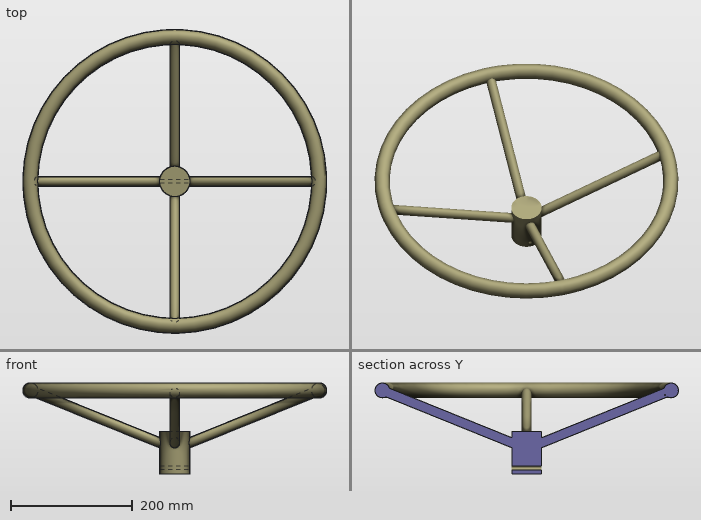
import cadquery as cq

wheel_diameter = 500.0
wheel_height = 150.0
rim_tube_diameter = 25.0
hub_diameter = 50.0
hub_height = 70.0
spoke_diameter = 16.0
spoke_count = 4
spoke_root_height = 41.5
pin_hole_diameter = 6.0
pin_hole_height = 10.0

rim_radius = (wheel_diameter - rim_tube_diameter) / 2
spoke_spacing = 360 / spoke_count
rim_height = wheel_height - rim_tube_diameter / 2


def make_rim():
    """Round tube around the wheel axis, with its seam midway between two spokes."""
    torus = cq.Solid.makeTorus(rim_radius, rim_tube_diameter / 2, cq.Vector(0, 0, rim_height))
    return cq.Workplane(obj=torus).rotate((0, 0, 0), (0, 0, 1), spoke_spacing / 2)


def make_hub():
    return cq.Workplane("XY").circle(hub_diameter / 2).extrude(hub_height)


def make_spoke(angle):
    """Round bar rising from the hub axis to the centre of the rim tube."""
    root = cq.Vector(0, 0, spoke_root_height)
    tip = cq.Vector(rim_radius, 0, rim_height)
    axis = tip - root
    bar = cq.Solid.makeCylinder(spoke_diameter / 2, axis.Length, root, axis)
    return cq.Workplane(obj=bar).rotate((0, 0, 0), (0, 0, 1), angle)


def make_pin_hole():
    """Cross hole along X, right through the hub near its foot."""
    return (
        cq.Workplane("YZ")
        .center(0, pin_hole_height)
        .circle(pin_hole_diameter / 2)
        .extrude(hub_diameter, both=True)
    )


result = make_hub()
for index in range(spoke_count):
    result = result.union(make_spoke(index * spoke_spacing), clean=False)
result = result.union(make_rim(), clean=False)
result = result.cut(make_pin_hole(), clean=False)